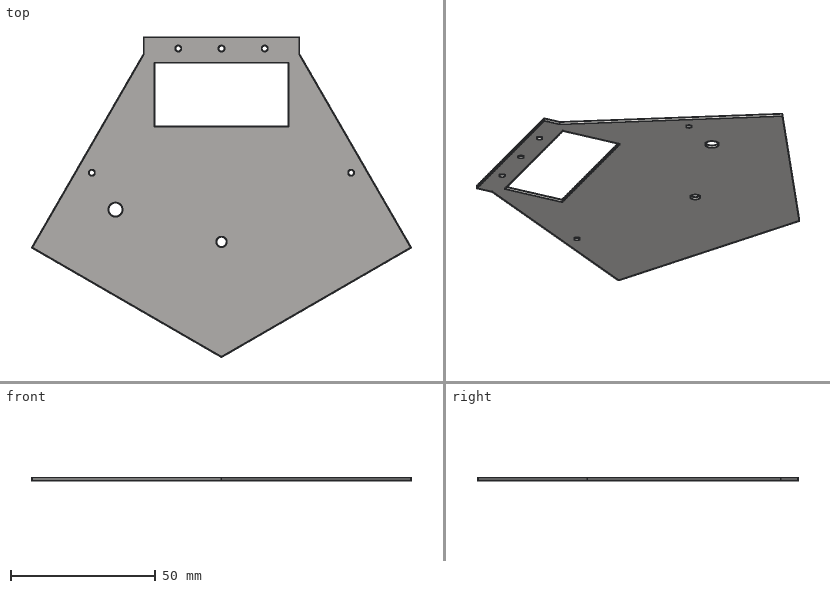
import cadquery as cq
import math

thickness = 1.0
overall_length = 111.11
front_edge_length = 76.0
front_edge_angle = 30.0
tab_depth = 6.0

half_width = front_edge_length * math.cos(math.radians(front_edge_angle))
side_corner_y = front_edge_length * math.sin(math.radians(front_edge_angle))
shoulder_y = overall_length - tab_depth
side_edge_run = (shoulder_y - side_corner_y) * math.tan(math.radians(front_edge_angle))
tab_half_width = half_width - side_edge_run

window_width = 46.5
window_length = 22.0
window_rear_margin = 9.0

small_hole_diameter = 2.0
tab_hole_pitch = 15.0
tab_hole_rear_margin = 4.0
side_hole_x = 45.0
side_hole_y = 64.0

center_hole_diameter = 3.5
center_hole_y = 40.0
offset_hole_diameter = 4.8
offset_hole_x = -36.8
offset_hole_y = 51.2


def make_plate():
    """Flat five-sided plate with the tab along its rear edge."""
    outline = [
        (0, 0),
        (half_width, side_corner_y),
        (tab_half_width, shoulder_y),
        (tab_half_width, overall_length),
        (-tab_half_width, overall_length),
        (-tab_half_width, shoulder_y),
        (-half_width, side_corner_y),
    ]
    return cq.Workplane("XY").polyline(outline).close().extrude(thickness)


def cut_window(plate):
    """Cut the rectangular window through the plate."""
    window_center_y = overall_length - window_rear_margin - window_length / 2
    window = (
        cq.Workplane("XY")
        .center(0, window_center_y)
        .rect(window_width, window_length)
        .extrude(thickness)
    )
    return plate.cut(window)


def drill(plate, centers, diameter):
    """Drill a through hole at each of the given centers."""
    drills = cq.Workplane("XY").pushPoints(centers).circle(diameter / 2).extrude(thickness)
    return plate.cut(drills)


tab_hole_y = overall_length - tab_hole_rear_margin
tab_holes = [(step * tab_hole_pitch, tab_hole_y) for step in (-1, 0, 1)]
side_holes = [(side * side_hole_x, side_hole_y) for side in (-1, 1)]

result = make_plate()
result = cut_window(result)
result = drill(result, tab_holes + side_holes, small_hole_diameter)
result = drill(result, [(0, center_hole_y)], center_hole_diameter)
result = drill(result, [(offset_hole_x, offset_hole_y)], offset_hole_diameter)